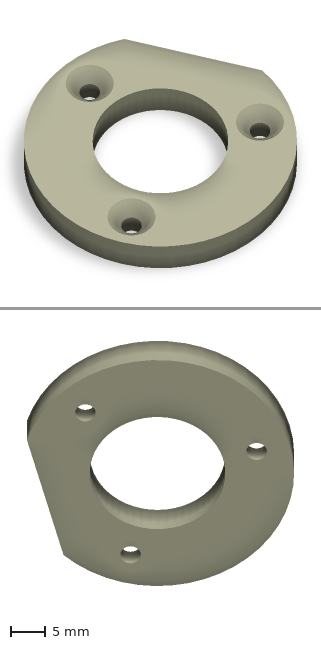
import cadquery as cq

outer_diameter = 40.0
bore_diameter = 19.85
thickness = 5.0
flat_offset = 17.0

screw_count = 3
screw_circle_radius = 15.0
first_screw_angle = 30.0
screw_hole_diameter = 3.0
countersink_diameter = 7.0
countersink_angle = 90.0


def ring_with_flat():
    """Flat ring, centred on the Z axis, with its +Y edge cut straight."""
    outer_radius = outer_diameter / 2
    ring = cq.Workplane("XY").circle(outer_radius).circle(bore_diameter / 2).extrude(thickness)
    depth_y = outer_radius + flat_offset
    keep = (
        cq.Workplane("XY")
        .center(0, flat_offset - depth_y / 2)
        .rect(outer_diameter, depth_y)
        .extrude(thickness)
    )
    return ring.intersect(keep)


def add_screw_holes(body):
    """Evenly spaced through holes, countersunk from the top face."""
    return (
        body.faces(">Z")
        .workplane(origin=(0, 0, thickness))
        .polarArray(screw_circle_radius, first_screw_angle, 360, screw_count)
        .cskHole(screw_hole_diameter, countersink_diameter, countersink_angle)
    )


result = add_screw_holes(ring_with_flat())